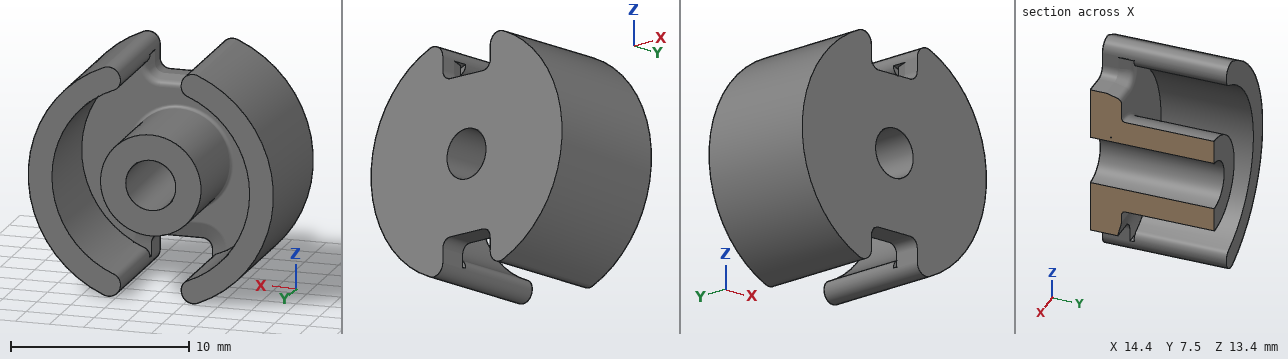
import cadquery as cq
import math

outer_radius = 7.2
height = 7.5
cavity_radius = 5.8
post_radius = 2.95
hole_radius = 1.47
base_thickness = 1.92

slot_width = 3.57
slot_floor = 4.61
slot_corner_radius = 0.58
rim_tip_radius = 0.7

lip_depth = 0.94
lip_angle = 15.0
lip_radius = 0.39
rim_inner_radius = 0.58
post_foot_radius = 0.2

front_y = -height / 2
cavity_floor_y = front_y + base_thickness
half_slot = slot_width / 2
lip_inset = lip_depth * math.tan(math.radians(lip_angle))
blend_z = math.sqrt((cavity_radius + rim_inner_radius) ** 2 - (half_slot + rim_inner_radius) ** 2)
blend_radius = math.hypot(half_slot, blend_z)
margin = 0.15


def disc(radius, start_y, length):
    """Cylinder around the Y axis, running toward +Y from start_y."""
    return cq.Workplane("XZ", origin=(0, start_y, 0)).circle(radius).extrude(-length)


def wire_slot(side):
    """Slot cutter with rounded floor corners; side is +1 for +Z, -1 for -Z."""
    depth = outer_radius + margin - slot_floor
    floor_face = "<Z" if side > 0 else ">Z"
    cutter = cq.Workplane("XY").box(slot_width, height + 2 * margin, depth)
    cutter = cutter.faces(floor_face).edges("|Y").fillet(slot_corner_radius)
    return cutter.translate((0, 0, side * (slot_floor + depth / 2)))


def cut_slots(solid):
    """Remove both wire slots from a solid."""
    return solid.cut(wire_slot(1)).cut(wire_slot(-1))


def edges_near(x_half, y, z_low, z_high):
    """Selector for edges centred in a thin slab at the given Y."""
    slab = 0.001
    return cq.selectors.BoxSelector((-x_half, y - slab, z_low), (x_half, y + slab, z_high))


def round_slot_edges(solid, radius_from_axis, mid_y, fillet_radius):
    """Round the four Y edges where a cylinder meets the slot walls."""
    edge_z = math.sqrt(radius_from_axis**2 - half_slot**2)
    for side in (1, -1):
        centre_z = side * edge_z
        corner = edges_near(half_slot + margin, mid_y, centre_z - margin, centre_z + margin)
        solid = solid.edges("|Y").edges(corner).fillet(fillet_radius)
    return solid


body = cut_slots(disc(outer_radius, front_y, height))
body = round_slot_edges(body, outer_radius, 0, rim_tip_radius)
wall_height = height - base_thickness
wall = body.intersect(disc(outer_radius + margin, cavity_floor_y, wall_height))
wall = wall.cut(disc(cavity_radius, cavity_floor_y, wall_height))
wall = round_slot_edges(wall, cavity_radius, cavity_floor_y + wall_height / 2, rim_inner_radius)

base_rim = body.intersect(disc(outer_radius + margin, front_y, base_thickness))
base_rim = base_rim.cut(disc(blend_radius, front_y, base_thickness))
floor = cut_slots(disc(outer_radius, front_y, base_thickness))
for side in (1, -1):
    z_low, z_high = sorted((side * (slot_floor - margin), side * outer_radius))
    lip = edges_near(half_slot + margin, cavity_floor_y, z_low, z_high)
    floor = floor.edges(lip).chamfer(lip_depth, lip_inset)
    z_low, z_high = sorted((side * (slot_floor - lip_inset - margin), side * outer_radius))
    lip = edges_near(half_slot + lip_inset + margin, cavity_floor_y, z_low, z_high)
    floor = floor.edges(lip).fillet(lip_radius)
floor = floor.intersect(disc(blend_radius, front_y, base_thickness))

post = disc(post_radius, front_y, height)
result = wall.union(base_rim).union(floor).union(post)
foot_reach = post_radius + margin
foot = edges_near(foot_reach, cavity_floor_y, -foot_reach, foot_reach)
result = result.edges(foot).fillet(post_foot_radius)

result = result.cut(disc(hole_radius, front_y, height))